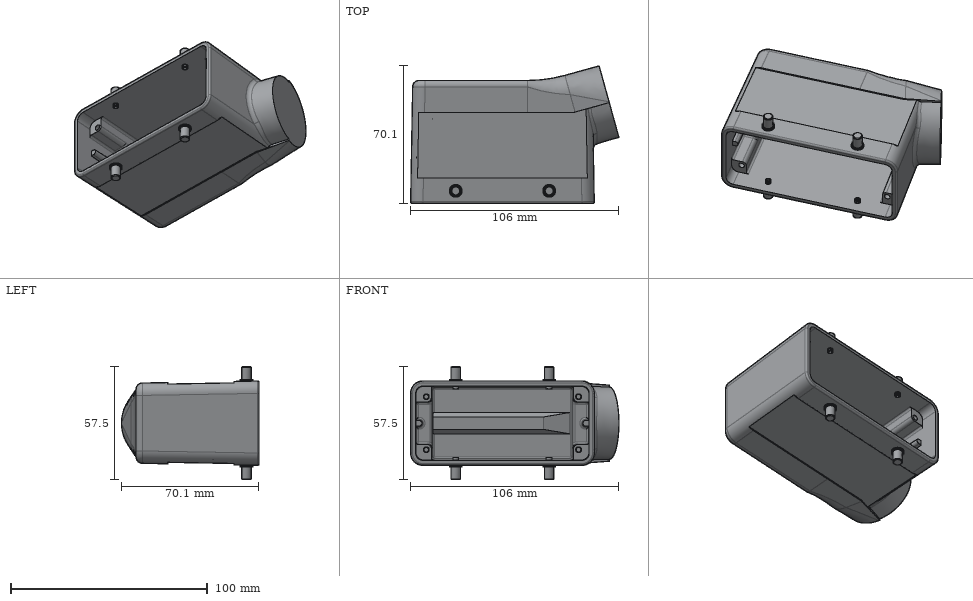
import cadquery as cq
import math

OVERALL_LENGTH = 106.0
BODY_LENGTH = 93.5
BODY_DEPTH = 43.0
BODY_HEIGHT = 62.7
CORNER_RADIUS = 6.4
DRAFT = math.radians(1.0)
TOP_FILLET = 3.4
RIM_FILLET = 1.0
WALL = 2.7

NOZZLE_TILT = math.radians(15.5)
NOZZLE_UPPER_RADIUS = 19.4
NOZZLE_LOWER_RADIUS = 18.5
NOZZLE_TOP_Y = 70.1
NOZZLE_INNER_X = 38.2
NOZZLE_ROOT_FILLET = 2.3
SWELL_START_X = 12.7
SWELL_END_FILLET = 10.4
SWELL_STEPS = 4
TIP_FLAT = 0.05

PANEL_BOTTOM_Y = 12.9
PANEL_TOP_Y = 46.4
PANEL_RECESS = 0.7

CEILING_FILLET = 0.6
BLOCK_FACE_X = 36.2
BLOCK_FLOOR_Y = 27.6
FLOOR_FILLET = 1.0
PILLAR_ROOT_FILLET = 1.1
PILLAR_END_Y = 9.1
PILLAR_INNER_Z = 10.8
PILLAR_EDGE_RADIUS = 2.1
SCREW_X = 38.7
SCREW_Z = 13.5
SCREW_MOUTH_DIAMETER = 3.0
SCREW_BOTTOM_DIAMETER = 2.3
SCREW_DEPTH = 12.7
BOSS_X = 42.4
BOSS_DIAMETER = 3.0
BOSS_END_Y = 10.2
BOSS_BASE_DIAMETER = 4.2
RIDGE_BASE_HALF = 5.4
RIDGE_TOP_HALF = 3.2
RIDGE_HEIGHT = 3.6
RIDGE_RAMP_START_X = 21.0
RIDGE_RAMP_END_X = 34.1

PIN_X = 23.8
PIN_Y = 6.5
PIN_SPAN = 57.5
PIN_DIAMETER = 4.9
PIN_CHAMFER = 0.4
COLLAR_DIAMETER = 6.5
COLLAR_SEAT_Z = 21.3
COLLAR_HEIGHT = 0.8
COLLAR_TEETH = 24
TOOTH_DEPTH = 0.4
STEM_DIAMETER = 3.0
STEM_END_Z = 17.4
STEM_BORE_DIAMETER = 1.9
STEM_BORE_DEPTH = 1.3

NOZZLE_TIP_X = OVERALL_LENGTH - BODY_LENGTH / 2 + RIM_FILLET * math.tan(DRAFT)
CEILING_Y = BODY_HEIGHT - WALL
NOZZLE_TIP_AXIS_X = NOZZLE_TIP_X - NOZZLE_LOWER_RADIUS * math.sin(NOZZLE_TILT)
NOZZLE_TIP_AXIS_Y = NOZZLE_TOP_Y - NOZZLE_UPPER_RADIUS * math.cos(NOZZLE_TILT)
NOZZLE_BEND_X = NOZZLE_TIP_AXIS_X - (NOZZLE_TIP_AXIS_Y - PANEL_TOP_Y) / math.tan(NOZZLE_TILT)


def half_depth(y):
    """Half of the outer Z size of the drafted body at height y."""
    return BODY_DEPTH / 2 - y * math.tan(DRAFT)


def drafted_block(length, depth, height, radius):
    """Block on Y = 0 that narrows with the draft angle and has rounded upright edges."""
    block = cq.Workplane("ZX").rect(depth, length).extrude(height, taper=math.degrees(DRAFT))
    return block.edges("not (|X or |Z)").fillet(radius)


def nozzle_plane(x, y, tilt):
    """Section plane with its local x along world Z and its normal along the tilted nozzle axis."""
    normal = (math.cos(tilt), math.sin(tilt), 0)
    return cq.Plane(origin=(x, y, 0), xDir=(0, 0, 1), normal=normal)


def hood_section(x, y, tilt, height, radius, base_half):
    """Closed hood outline, flat at the bottom, with drafted sides and rounded upper corners."""
    centre_v = height - radius
    centre_u = base_half - centre_v * math.tan(DRAFT) - radius / math.cos(DRAFT)
    side_u = centre_u + radius * math.cos(DRAFT)
    side_v = centre_v + radius * math.sin(DRAFT)
    middle_angle = (math.pi / 2 + DRAFT) / 2
    middle_u = centre_u + radius * math.cos(middle_angle)
    middle_v = centre_v + radius * math.sin(middle_angle)
    return (
        cq.Workplane(nozzle_plane(x, y, tilt))
        .moveTo(-base_half, 0)
        .lineTo(-side_u, -side_v)
        .threePointArc((-middle_u, -middle_v), (-centre_u, -height))
        .lineTo(centre_u, -height)
        .threePointArc((middle_u, -middle_v), (side_u, -side_v))
        .lineTo(base_half, 0)
        .close()
        .val()
    )


def swell_sections():
    """Hood outlines along the arc that bends from the flat top into the nozzle direction."""
    axis_slope = math.tan(NOZZLE_TILT)
    corner_x = NOZZLE_TIP_X - (NOZZLE_LOWER_RADIUS + NOZZLE_UPPER_RADIUS) * math.sin(NOZZLE_TILT)
    bend_x = corner_x - (NOZZLE_TOP_Y - BODY_HEIGHT) / axis_slope
    bend_radius = (bend_x - SWELL_START_X) / math.tan(NOZZLE_TILT / 2)
    sections = []
    for step in range(SWELL_STEPS + 1):
        share = step / SWELL_STEPS
        tilt = share * NOZZLE_TILT
        radius = TOP_FILLET + share * (SWELL_END_FILLET - TOP_FILLET)
        top_x = SWELL_START_X + bend_radius * math.sin(tilt)
        top_y = BODY_HEIGHT + bend_radius * (1 - math.cos(tilt))
        height = (top_y - PANEL_TOP_Y) / math.cos(tilt)
        base_x = top_x + height * math.sin(tilt)
        base_half = half_depth(PANEL_TOP_Y)
        sections.append(hood_section(base_x, PANEL_TOP_Y, tilt, height, radius, base_half))
    return sections


def make_nozzle_hood():
    """Upper half of the nozzle: the swelling of the top, then a straight run to the round tip."""
    sections = swell_sections()
    tip_radius = NOZZLE_UPPER_RADIUS - TIP_FLAT
    tip = hood_section(
        NOZZLE_TIP_AXIS_X,
        NOZZLE_TIP_AXIS_Y,
        NOZZLE_TILT,
        NOZZLE_UPPER_RADIUS,
        tip_radius,
        NOZZLE_UPPER_RADIUS,
    )
    swell = cq.Solid.makeLoft(sections)
    straight = cq.Solid.makeLoft([sections[-1], tip], True)
    return swell, straight


def make_nozzle_cone():
    """Round drafted stub along the tilted axis; only its lower half stays visible."""
    length = (NOZZLE_TIP_AXIS_X - NOZZLE_INNER_X) / math.cos(NOZZLE_TILT)
    axis = cq.Vector(-math.cos(NOZZLE_TILT), -math.sin(NOZZLE_TILT), 0)
    tip_centre = cq.Vector(NOZZLE_TIP_AXIS_X, NOZZLE_TIP_AXIS_Y, 0)
    inner_radius = NOZZLE_LOWER_RADIUS + length * math.tan(DRAFT)
    return cq.Solid.makeCone(NOZZLE_LOWER_RADIUS, inner_radius, length, tip_centre, axis)


def nozzle_split_y(x):
    """Height at x of the tilted plane that splits the nozzle into its two halves."""
    return NOZZLE_TIP_AXIS_Y + (x - NOZZLE_TIP_AXIS_X) * math.tan(NOZZLE_TILT)


def make_hood_space():
    """Corner of the plain body that the nozzle hood replaces."""
    far_x = BODY_LENGTH
    outline = [
        (SWELL_START_X, PANEL_TOP_Y),
        (NOZZLE_BEND_X, PANEL_TOP_Y),
        (far_x, nozzle_split_y(far_x)),
        (far_x, 2 * BODY_HEIGHT),
        (SWELL_START_X, 2 * BODY_HEIGHT),
    ]
    return cq.Workplane("XY").polyline(outline).close().extrude(BODY_DEPTH, both=True)


def make_panel_recess(side):
    """Material to remove for one label panel; its floor is parallel to the drafted side."""
    far_x = BODY_LENGTH
    outer_z = BODY_DEPTH
    far_y = nozzle_split_y(far_x)
    outline = [
        (-far_x, PANEL_BOTTOM_Y),
        (far_x, PANEL_BOTTOM_Y),
        (far_x, far_y),
        (NOZZLE_BEND_X, PANEL_TOP_Y),
        (-far_x, PANEL_TOP_Y),
    ]
    prism = cq.Workplane("XY").polyline(outline).close().extrude(side * outer_z)
    core = [
        (0, 0),
        (0, side * (half_depth(0) - PANEL_RECESS)),
        (far_y, side * (half_depth(far_y) - PANEL_RECESS)),
        (far_y, 0),
    ]
    return prism.cut(cq.Workplane("YZ").polyline(core).close().extrude(far_x, both=True))


def make_outer_shape():
    outer = drafted_block(BODY_LENGTH, BODY_DEPTH, BODY_HEIGHT, CORNER_RADIUS)
    outer = outer.faces(">Y").edges().fillet(TOP_FILLET)
    outer = outer.faces("<Y").edges().fillet(RIM_FILLET)
    outer = outer.union(cq.Workplane(make_nozzle_cone())).cut(make_hood_space())
    root_min_x = BODY_LENGTH / 2 - CORNER_RADIUS
    root_min_y = BODY_HEIGHT / 2 - CORNER_RADIUS
    nozzle_root = cq.selectors.BoxSelector(
        (root_min_x, root_min_y, -BODY_DEPTH), (BODY_LENGTH / 2, PANEL_TOP_Y, BODY_DEPTH)
    )
    outer = outer.edges(nozzle_root).fillet(NOZZLE_ROOT_FILLET)
    for piece in make_nozzle_hood():
        outer = outer.union(cq.Workplane(piece))
    for side in (-1, 1):
        outer = outer.cut(make_panel_recess(side))
    return outer


def block_face_x(y):
    """Distance of the drafted end-block face from the middle plane at height y."""
    return BLOCK_FACE_X - (y - PILLAR_END_Y) * math.tan(DRAFT)


def make_end_block(end):
    """Solid filling one end of the cavity above the end floor."""
    outline = [
        (end * block_face_x(BLOCK_FLOOR_Y), BLOCK_FLOOR_Y),
        (end * block_face_x(BODY_HEIGHT), BODY_HEIGHT),
        (end * BODY_LENGTH / 2, BODY_HEIGHT),
        (end * BODY_LENGTH / 2, BLOCK_FLOOR_Y),
    ]
    return cq.Workplane("XY").polyline(outline).close().extrude(BODY_DEPTH, both=True)


def make_pillar(end, side):
    """Drafted corner pillar with a slightly tapered blind screw hole in its end."""
    height = CEILING_Y - PILLAR_END_Y
    spread = height * math.tan(DRAFT)
    length = BODY_LENGTH / 2 - BLOCK_FACE_X + 2 * spread
    width = BODY_DEPTH / 2 - PILLAR_INNER_Z + 2 * spread
    centre_x = end * (BLOCK_FACE_X - spread + length / 2)
    centre_z = side * (PILLAR_INNER_Z - spread + width / 2)
    pillar = drafted_block(length, width, height, PILLAR_EDGE_RADIUS)
    pillar = pillar.rotate((0, 0, 0), (1, 0, 0), 180).translate((centre_x, CEILING_Y, centre_z))
    hole = cq.Solid.makeCone(
        SCREW_MOUTH_DIAMETER / 2,
        SCREW_BOTTOM_DIAMETER / 2,
        SCREW_DEPTH,
        cq.Vector(end * SCREW_X, PILLAR_END_Y, side * SCREW_Z),
        cq.Vector(0, 1, 0),
    )
    return pillar.cut(cq.Workplane(hole))


def make_boss(end):
    """Round-nosed boss on the end wall, widening from its free end down to the end floor."""
    end_radius = BOSS_DIAMETER / 2
    base_radius = BOSS_BASE_DIAMETER / 2
    base_y = BLOCK_FLOOR_Y + FLOOR_FILLET
    nose = cq.Solid.makeCone(
        end_radius,
        base_radius,
        base_y - BOSS_END_Y,
        cq.Vector(end * BOSS_X, BOSS_END_Y, 0),
        cq.Vector(0, 1, 0),
    )
    web_outline = [
        (BOSS_END_Y, -end_radius),
        (BOSS_END_Y, end_radius),
        (base_y, base_radius),
        (base_y, -base_radius),
    ]
    web = cq.Workplane("YZ").workplane(offset=end * BOSS_X).polyline(web_outline).close()
    return web.extrude(end * (BODY_LENGTH / 2 - BOSS_X)).union(cq.Workplane(nose))


def round_pillar_roots(cavity):
    """Fillet the upright inside corners where the pillars and end blocks meet the walls."""
    wall_z = BODY_DEPTH / 2 - WALL
    wall_x = BODY_LENGTH / 2 - WALL
    middle_y = (PILLAR_END_Y + BLOCK_FLOOR_Y) / 2
    block_middle_y = (PILLAR_END_Y + CEILING_Y) / 2
    for end in (-1, 1):
        for side in (-1, 1):
            corners = [
                (end * wall_x, middle_y, side * PILLAR_INNER_Z),
                (end * block_face_x(block_middle_y), block_middle_y, side * wall_z),
            ]
            for corner in corners:
                edge = cavity.edges(cq.selectors.NearestToPointSelector(corner))
                cavity = edge.fillet(PILLAR_ROOT_FILLET)
    return cavity


def make_ceiling_ridge():
    """Low ridge along the ceiling with sloped sides, ramping down to the ceiling at +X."""
    low_y = CEILING_Y - RIDGE_HEIGHT
    section = [
        (CEILING_Y, -RIDGE_BASE_HALF),
        (low_y, -RIDGE_TOP_HALF),
        (low_y, RIDGE_TOP_HALF),
        (CEILING_Y, RIDGE_BASE_HALF),
    ]
    ridge = cq.Workplane("YZ").polyline(section).close().extrude(BLOCK_FACE_X, both=True)
    ramp = [
        (RIDGE_RAMP_START_X, low_y),
        (BLOCK_FACE_X, low_y),
        (BLOCK_FACE_X, CEILING_Y),
        (RIDGE_RAMP_END_X, CEILING_Y),
    ]
    return ridge.cut(cq.Workplane("XY").polyline(ramp).close().extrude(RIDGE_BASE_HALF, both=True))


def make_cavity():
    cavity = drafted_block(
        BODY_LENGTH - 2 * WALL, BODY_DEPTH - 2 * WALL, CEILING_Y, CORNER_RADIUS - WALL
    )
    for end in (-1, 1):
        cavity = cavity.cut(make_end_block(end))
        for side in (-1, 1):
            cavity = cavity.cut(make_pillar(end, side))
        cavity = cavity.cut(make_boss(end))
    cavity = round_pillar_roots(cavity)
    end_floors = cavity.faces("+Y").faces(">Y[-2]")
    cavity = end_floors.edges().fillet(FLOOR_FILLET)
    cavity = cavity.faces(">Y").edges().fillet(CEILING_FILLET)
    return cavity.cut(make_ceiling_ridge())


def collar_outline():
    """Ring of pointed teeth: tips and roots alternate around the collar."""
    points = []
    for step in range(2 * COLLAR_TEETH):
        angle = math.pi * step / COLLAR_TEETH
        radius = COLLAR_DIAMETER / 2 - TOOTH_DEPTH * (step % 2)
        points.append((radius * math.cos(angle), radius * math.sin(angle)))
    return points


def make_pin():
    """Locking pin along +Z: stem with a bored end, seat collar and chamfered head."""
    stem = (
        cq.Workplane("XY")
        .workplane(offset=STEM_END_Z)
        .circle(STEM_DIAMETER / 2)
        .extrude(COLLAR_SEAT_Z - STEM_END_Z)
        .faces("<Z")
        .workplane()
        .hole(STEM_BORE_DIAMETER, STEM_BORE_DEPTH)
    )
    collar = cq.Workplane("XY").workplane(offset=COLLAR_SEAT_Z)
    collar = collar.polyline(collar_outline()).close().extrude(COLLAR_HEIGHT)
    head = cq.Workplane("XY").workplane(offset=COLLAR_SEAT_Z).circle(PIN_DIAMETER / 2)
    head = head.extrude(PIN_SPAN / 2 - COLLAR_SEAT_Z).faces(">Z").chamfer(PIN_CHAMFER)
    return stem.union(collar).union(head)


def make_pins():
    pins = []
    for x in (-PIN_X, PIN_X):
        for turn in (0, 180):
            pin = make_pin().rotate((0, 0, 0), (1, 0, 0), turn)
            pins.append(pin.translate((x, PIN_Y, 0)))
    return pins


def make_pin_seats():
    """Solids to remove for the pins: stem holes and flat collar seats."""
    seats = []
    for x in (-PIN_X, PIN_X):
        hole = cq.Workplane("XY").center(x, PIN_Y).circle(STEM_DIAMETER / 2)
        seats.append(hole.extrude(BODY_DEPTH, both=True))
        for side in (-1, 1):
            seat = cq.Workplane("XY").workplane(offset=side * COLLAR_SEAT_Z).center(x, PIN_Y)
            seats.append(seat.circle(COLLAR_DIAMETER / 2).extrude(side * COLLAR_HEIGHT))
    return seats


def make_housing():
    housing = make_outer_shape().cut(make_cavity())
    for seat in make_pin_seats():
        housing = housing.cut(seat)
    return housing


housing = make_housing()
pins = make_pins()
result = cq.Compound.makeCompound([housing.val(), *[pin.val() for pin in pins]])